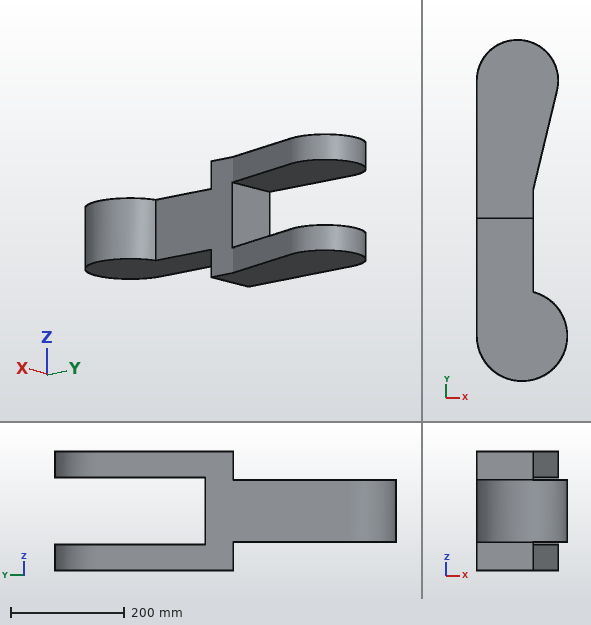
import cadquery as cq
import math

BOSS_RADIUS = 80.0
FORK_END_RADIUS = 72.0
CENTER_DISTANCE = 450.0
ARM_WIDTH = 100.0
FORK_HEIGHT = 210.0
TANG_HEIGHT = 110.0
SLOT_HEIGHT = 118.0
SHOULDER_Y = 207.0
SLOT_FLOOR_Y = 257.0
TAPER_START_Y = 258.0

FLAT_SIDE_X = -BOSS_RADIUS
ARM_SIDE_X = FLAT_SIDE_X + ARM_WIDTH
FORK_END_X = FLAT_SIDE_X + FORK_END_RADIUS
FORK_END_Y = CENTER_DISTANCE


def taper_tangent_point():
    """Point where the line from the taper start touches the fork end circle."""
    dx = ARM_SIDE_X - FORK_END_X
    dy = TAPER_START_Y - FORK_END_Y
    start_angle = math.atan2(dy, dx)
    angle = start_angle + math.acos(FORK_END_RADIUS / math.hypot(dx, dy))
    return (
        FORK_END_X + FORK_END_RADIUS * math.cos(angle),
        FORK_END_Y + FORK_END_RADIUS * math.sin(angle),
    )


def extrude_about_mid_height(outline, height):
    return outline.extrude(height / 2, both=True)


def make_tang():
    """Arm with the round boss, overlapping the fork up to the slot floor."""
    boss_meets_arm_y = math.sqrt(BOSS_RADIUS**2 - ARM_SIDE_X**2)
    outline = (
        cq.Workplane("XY")
        .moveTo(FLAT_SIDE_X, 0)
        .lineTo(FLAT_SIDE_X, SLOT_FLOOR_Y)
        .lineTo(ARM_SIDE_X, SLOT_FLOOR_Y)
        .lineTo(ARM_SIDE_X, boss_meets_arm_y)
        .threePointArc((0, -BOSS_RADIUS), (FLAT_SIDE_X, 0))
        .close()
    )
    return extrude_about_mid_height(outline, TANG_HEIGHT)


def make_fork():
    """Full-height fork block with round, tapered ends and the slot between its tines."""
    outline = (
        cq.Workplane("XY")
        .moveTo(FLAT_SIDE_X, SHOULDER_Y)
        .lineTo(ARM_SIDE_X, SHOULDER_Y)
        .lineTo(ARM_SIDE_X, TAPER_START_Y)
        .lineTo(*taper_tangent_point())
        .threePointArc((FORK_END_X, FORK_END_Y + FORK_END_RADIUS), (FLAT_SIDE_X, FORK_END_Y))
        .close()
    )
    slot_length = FORK_END_Y + FORK_END_RADIUS - SLOT_FLOOR_Y
    slot = (
        cq.Workplane("XY")
        .box(2 * FORK_END_RADIUS, slot_length, SLOT_HEIGHT, centered=(False, False, True))
        .translate((FLAT_SIDE_X, SLOT_FLOOR_Y, 0))
    )
    return extrude_about_mid_height(outline, FORK_HEIGHT).cut(slot)


result = make_tang().union(make_fork())